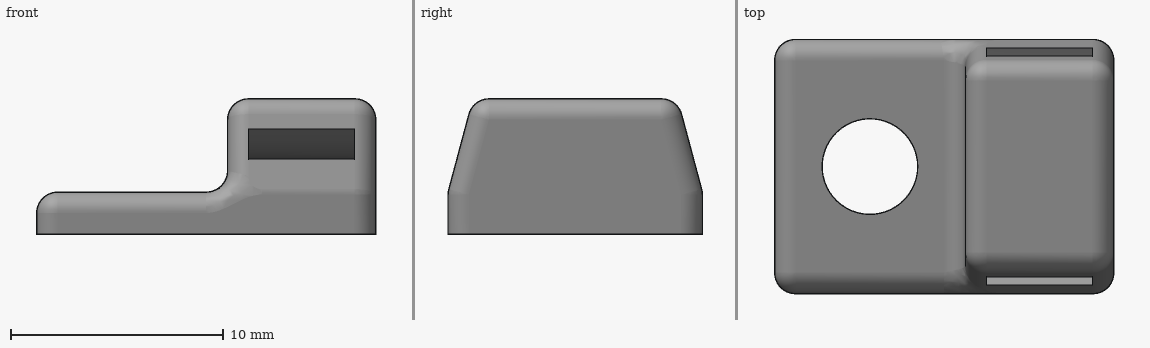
import cadquery as cq
import math

length = 16.0
width = 12.0
height = 6.4

plate_height = 2.0
block_length = 7.0
draft_angle = math.radians(15)
edge_radius = 1.0

hole_diameter = 4.5
hole_center_x = -3.5

slot_length = 5.0
slot_thickness = 1.4
slot_inner_radius = 10.0
slot_crown_z = 3.5

block_start_x = length / 2 - block_length
block_top_half_width = width / 2 - (height - plate_height) * math.tan(draft_angle)


def make_plate():
    return cq.Workplane("XY").box(length, width, plate_height, centered=(True, True, False))


def make_block():
    """Block with upright end faces and drafted sides above the plate."""
    section = [
        (-width / 2, 0),
        (width / 2, 0),
        (width / 2, plate_height),
        (block_top_half_width, height),
        (-block_top_half_width, height),
        (-width / 2, plate_height),
    ]
    return cq.Workplane("YZ", origin=(block_start_x, 0, 0)).polyline(section).close().extrude(block_length)


def make_strap_slot():
    """Ring about an axis parallel to X; its lower stretch passes through the block."""
    center_z = slot_crown_z + slot_inner_radius
    slot_start_x = length / 2 - edge_radius - slot_length
    return (
        cq.Workplane("YZ", origin=(slot_start_x, 0, center_z))
        .circle(slot_inner_radius + slot_thickness)
        .circle(slot_inner_radius)
        .extrude(slot_length)
    )


def make_screw_hole():
    return cq.Workplane("XY").center(hole_center_x, 0).circle(hole_diameter / 2).extrude(plate_height)


body = make_plate().union(make_block())
body = body.edges("not(<Z)").fillet(edge_radius)

result = body.cut(make_strap_slot()).cut(make_screw_hole())